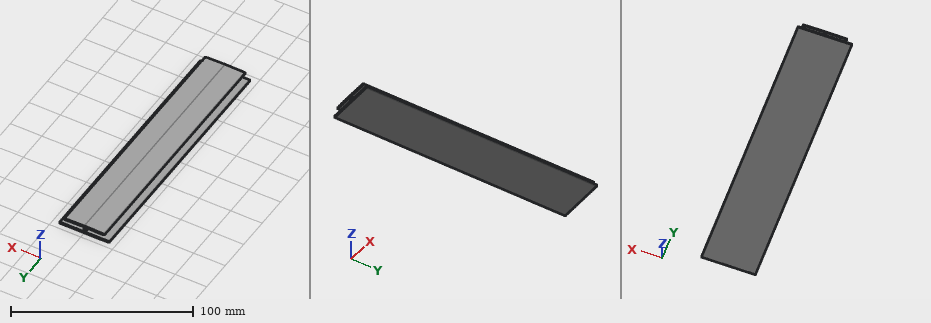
import cadquery as cq

length = 152.4
base_width = 31.7
height = 5.3

cap_width = 25.6
flange_thickness = 1.0
web_thickness = flange_thickness
ridge_width = 0.2
cap_droop = 0.26

tip_radius = flange_thickness / 2


def base_flange():
    """Flat flange whose two long sides are fully rounded."""
    flat_half = base_width / 2 - tip_radius
    return (
        cq.Workplane("XZ")
        .moveTo(-flat_half, 0)
        .lineTo(flat_half, 0)
        .threePointArc((base_width / 2, tip_radius), (flat_half, flange_thickness))
        .lineTo(-flat_half, flange_thickness)
        .threePointArc((-base_width / 2, tip_radius), (-flat_half, 0))
        .close()
        .extrude(length / 2, both=True)
    )


def cap_flange():
    """Flange with a narrow flat crest, two gently drooping wings and rounded tips."""
    flat_half = cap_width / 2 - tip_radius
    ridge_half = ridge_width / 2
    tip_top = height - cap_droop
    tip_middle = tip_top - tip_radius
    tip_bottom = tip_top - flange_thickness
    return (
        cq.Workplane("XZ")
        .moveTo(-ridge_half, height)
        .lineTo(ridge_half, height)
        .lineTo(flat_half, tip_top)
        .threePointArc((cap_width / 2, tip_middle), (flat_half, tip_bottom))
        .lineTo(0, height - flange_thickness)
        .lineTo(-flat_half, tip_bottom)
        .threePointArc((-cap_width / 2, tip_middle), (-flat_half, tip_top))
        .close()
        .extrude(length / 2, both=True)
    )


web_height = height - flange_thickness / 2
web = cq.Workplane("XY").box(web_thickness, length, web_height, centered=(True, True, False))

result = base_flange().union(web).union(cap_flange())